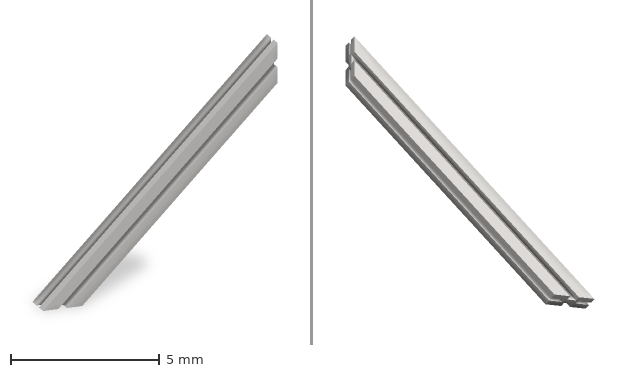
import cadquery as cq
import math

reach = 8.49
bar_side = 1.0
slot_width = 0.22
slot_depth = 0.33

slant = math.sqrt(2)
half_side = bar_side / 2
half_reach = reach / 2
slot_center = half_side - slot_depth / 2


def make_bar():
    """Inclined bar with a mitred end at the top and at the bottom."""
    end_length = bar_side * slant
    outline = [
        (-half_reach, -half_reach),
        (half_reach, half_reach),
        (half_reach, half_reach - end_length),
        (-half_reach + end_length, -half_reach),
    ]
    return cq.Workplane("YZ").polyline(outline).close().extrude(half_side, both=True)


def make_slots():
    """Four straight slots, one along the middle of each side of the bar."""
    cutter_length = 2 * reach * slant
    axis_offset = half_side * slant / 2
    section = cq.Plane(
        origin=(0, axis_offset, -axis_offset),
        xDir=(1, 0, 0),
        normal=(0, 1, 1),
    )
    across = cq.Workplane(section).pushPoints([(-slot_center, 0), (slot_center, 0)])
    upright = cq.Workplane(section).pushPoints([(0, -slot_center), (0, slot_center)])
    side_slots = across.rect(slot_depth, slot_width).extrude(cutter_length / 2, both=True)
    face_slots = upright.rect(slot_width, slot_depth).extrude(cutter_length / 2, both=True)
    return side_slots.union(face_slots)


result = make_bar().cut(make_slots())